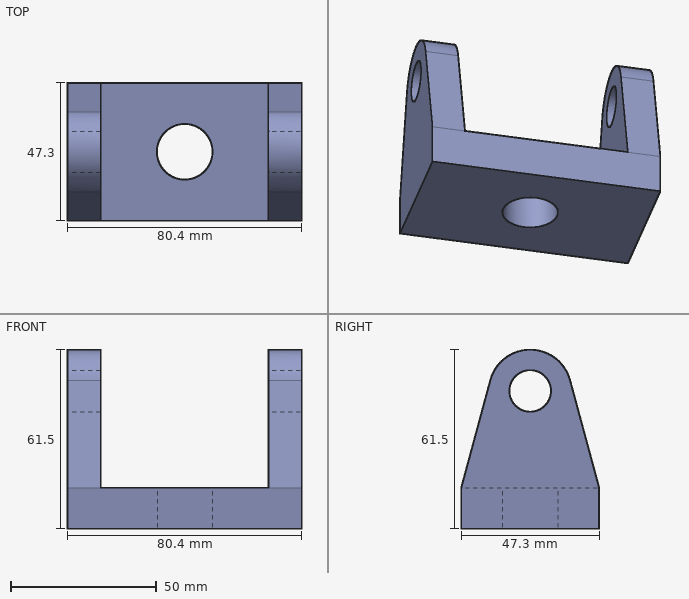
import cadquery as cq
import math

length = 80.37
width = 47.28
height = 61.46
base_thickness = 14.18
cheek_thickness = 11.5
cheek_top_radius = 14.18
pin_hole_diameter = 14.18
base_hole_diameter = 19.0

pin_height = height - cheek_top_radius
cheek_offset = (length - cheek_thickness) / 2


def make_base():
    """Rectangular plate standing on Z = 0."""
    return cq.Workplane("XY").box(length, width, base_thickness, centered=(True, True, False))


def make_cheek(center_x):
    """Upright lug whose sloping sides run tangent into its rounded top."""
    corner_y = width / 2
    corner_drop = pin_height - base_thickness
    corner_distance = math.hypot(corner_y, corner_drop)
    tangent_angle = math.acos(cheek_top_radius / corner_distance) - math.atan2(corner_drop, corner_y)
    tangent_y = cheek_top_radius * math.cos(tangent_angle)
    tangent_z = pin_height + cheek_top_radius * math.sin(tangent_angle)

    return (
        cq.Workplane("YZ", origin=(center_x, 0, 0))
        .moveTo(-corner_y, 0)
        .lineTo(corner_y, 0)
        .lineTo(corner_y, base_thickness)
        .lineTo(tangent_y, tangent_z)
        .threePointArc((0, height), (-tangent_y, tangent_z))
        .lineTo(-corner_y, base_thickness)
        .close()
        .extrude(cheek_thickness / 2, both=True)
    )


def make_pin_bore():
    """Cylinder along X through both cheeks."""
    return (
        cq.Workplane("YZ", origin=(0, 0, pin_height))
        .circle(pin_hole_diameter / 2)
        .extrude(length, both=True)
    )


def make_base_bore():
    """Vertical cylinder through the middle of the base."""
    return cq.Workplane("XY").circle(base_hole_diameter / 2).extrude(base_thickness)


bracket = make_base()
for side in (-1, 1):
    bracket = bracket.union(make_cheek(side * cheek_offset))

result = bracket.cut(make_pin_bore()).cut(make_base_bore()).clean()